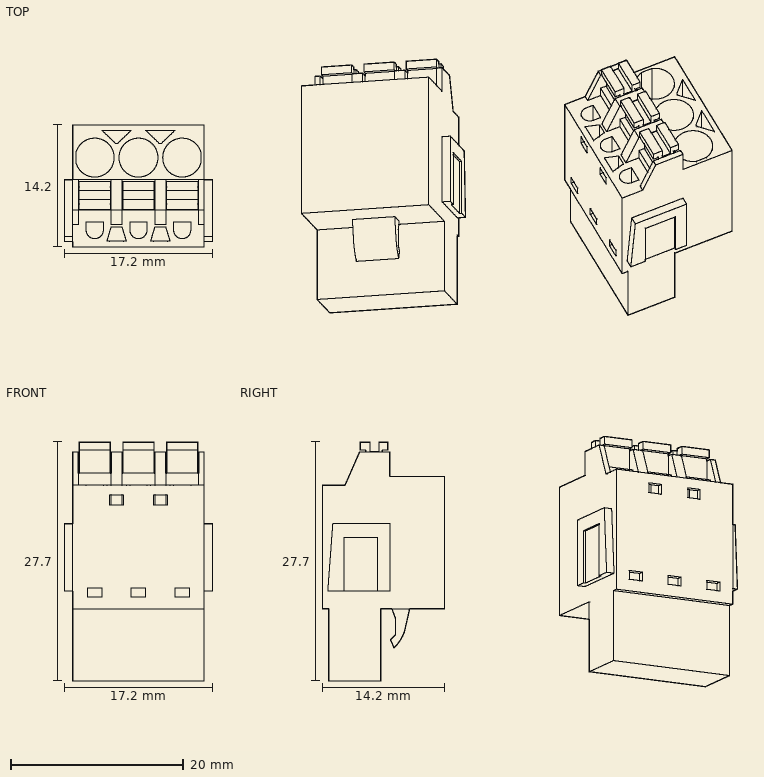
import cadquery as cq

POLES = 3
PITCH = 5.07
POLE_X = [(i - (POLES - 1) / 2) * PITCH for i in range(POLES)]
MID_X = [(a + b) / 2 for a, b in zip(POLE_X, POLE_X[1:])]

WIDTH = 15.25
DEPTH = 14.2
BODY_BOTTOM = 8.37
FRONT_SHELF = 22.75
REAR_SHELF = 23.75
RIDGE_TOP = 26.6
RIDGE_BACK = 7.85
RIDGE_FRONT = 4.33
SLOPE_FOOT = 2.63
PLUG_FRONT = 0.75
PLUG_BACK = 6.8

SLOT_WIDTH = 3.8
SEAT_TOP = 24.13

PORT_DIAMETER = 4.52
PORT_Y = 10.4
PORT_DEPTH = 11.1
PORT_SIDE_WALL = 0.4
WIRE_WIDTH = 2.0
WIRE_BACK = 2.9
WIRE_FRONT = 1.0
WIRE_DEPTH = PORT_DEPTH

POCKET_DEPTH = 5.55
REAR_POCKET_BACK = 13.55
REAR_POCKET_FRONT = 12.05
REAR_POCKET_WIDE = 3.38
REAR_POCKET_NARROW = 0.28
FRONT_POCKET_BACK = 2.33
FRONT_POCKET_FRONT = 0.72
FRONT_POCKET_WIDE = 2.25
FRONT_POCKET_NARROW = 1.28

UPPER_WINDOW_WIDTH = 1.64
LOWER_WINDOW_WIDTH = 1.7
UPPER_WINDOW_BOTTOM = 20.45
UPPER_WINDOW_TOP = 21.6
LOWER_WINDOW_BOTTOM = 9.75
LOWER_WINDOW_TOP = 10.81
LOWER_WINDOW_DEPTH = FRONT_POCKET_FRONT

PLATE_THICKNESS = 0.97
PLATE_BOTTOM = 10.43
PLATE_TOP = 18.27
PLATE_FRONT_BOTTOM = 0.65
PLATE_FRONT_TOP = 1.22
RECESS_FRONT = 2.52
RECESS_BACK = 6.4
RECESS_TOP = 16.67
RECESS_DEPTH = 0.25

HOOK_WIDTH = PITCH
HOOK_ROOT_BACK = 10.15
HOOK_ROOT_FRONT = 8.07
HOOK_NECK_Y = 8.49
HOOK_NECK_TOP = 7.27
HOOK_NECK_BOTTOM = 5.38
HOOK_BARB = (7.9, 4.8)
HOOK_TIP = (8.32, 3.83)
HOOK_BACK_BEND = (9.57, 5.8)
HOOK_BACK_MIDDLE = (9.15, 4.88)

BUTTON_WIDTH = 3.63
BUTTON_TOP = 27.73
HEAD_BOTTOM = 26.8
GROOVE_BOTTOM = 26.65
HEAD_FRONT = 4.38
HEAD_BACK = 7.63
GROOVE_FRONT = 5.55
GROOVE_BACK = 6.57
STEM_FRONT = 5.02
STEM_BACK = 6.95


def extrude_x(points, width, x_middle=0.0):
    """Extrude a (y, z) outline along X, centred on x_middle."""
    start = x_middle - width / 2
    return cq.Workplane("YZ").workplane(offset=start).polyline(points).close().extrude(width)


def box(x_middle, width, y_range, z_range):
    """Box centred on x_middle, between the given Y and Z limits."""
    (y0, y1), (z0, z1) = y_range, z_range
    return (
        cq.Workplane("XY", origin=(x_middle, (y0 + y1) / 2, z0))
        .rect(width, y1 - y0)
        .extrude(z1 - z0)
    )


def tapered_pocket(x_middle, back, back_width, front, front_width, bottom, top):
    """Vertical pocket with a trapezoid section, symmetric about x_middle."""
    outline = [
        (-back_width / 2, back),
        (back_width / 2, back),
        (front_width / 2, front),
        (-front_width / 2, front),
    ]
    return (
        cq.Workplane("XY", origin=(x_middle, 0, bottom))
        .polyline(outline)
        .close()
        .extrude(top - bottom)
    )


def housing_block():
    outline = [
        (PLUG_FRONT, 0),
        (PLUG_BACK, 0),
        (PLUG_BACK, BODY_BOTTOM),
        (DEPTH, BODY_BOTTOM),
        (DEPTH, REAR_SHELF),
        (RIDGE_BACK, REAR_SHELF),
        (RIDGE_BACK, RIDGE_TOP),
        (RIDGE_FRONT, RIDGE_TOP),
        (SLOPE_FOOT, FRONT_SHELF),
        (0, FRONT_SHELF),
        (0, BODY_BOTTOM),
        (PLUG_FRONT, BODY_BOTTOM),
    ]
    return extrude_x(outline, WIDTH)


def side_plate(side):
    """Plate on the left (side = -1) or right (side = 1) face, with a shallow recess."""
    outline = [
        (PLATE_FRONT_BOTTOM, PLATE_BOTTOM),
        (RIDGE_BACK, PLATE_BOTTOM),
        (RIDGE_BACK, PLATE_TOP),
        (PLATE_FRONT_TOP, PLATE_TOP),
    ]
    plate = extrude_x(outline, PLATE_THICKNESS, side * (WIDTH + PLATE_THICKNESS) / 2)
    outer_x = WIDTH / 2 + PLATE_THICKNESS
    recess = box(
        side * (outer_x - RECESS_DEPTH / 2),
        RECESS_DEPTH,
        (RECESS_FRONT, RECESS_BACK),
        (PLATE_BOTTOM, RECESS_TOP),
    )
    return plate.cut(recess)


def latch_hook():
    """Curved hook hanging from the underside of the body, behind the plug."""
    return (
        cq.Workplane("YZ")
        .workplane(offset=-HOOK_WIDTH / 2)
        .moveTo(HOOK_ROOT_BACK, BODY_BOTTOM)
        .lineTo(*HOOK_BACK_BEND)
        .threePointArc(HOOK_BACK_MIDDLE, HOOK_TIP)
        .lineTo(*HOOK_BARB)
        .lineTo(HOOK_NECK_Y, HOOK_NECK_BOTTOM)
        .lineTo(HOOK_NECK_Y, HOOK_NECK_TOP)
        .lineTo(HOOK_ROOT_FRONT, BODY_BOTTOM)
        .close()
        .extrude(HOOK_WIDTH)
    )


def button_slot(x):
    """Slot through the ridge: deep in front of the seat, shallow above it."""
    above_seat = box(x, SLOT_WIDTH, (RIDGE_FRONT, RIDGE_BACK), (SEAT_TOP, RIDGE_TOP))
    before_seat = box(x, SLOT_WIDTH, (0, RIDGE_FRONT), (FRONT_SHELF, RIDGE_TOP))
    return above_seat.union(before_seat)


def conductor_port(x):
    """Round blind hole, cut flat where it would come too close to a side face."""
    cylinder = (
        cq.Workplane("XY", origin=(x, PORT_Y, REAR_SHELF))
        .circle(PORT_DIAMETER / 2)
        .extrude(-PORT_DEPTH)
    )
    inside_walls = box(
        0,
        WIDTH - 2 * PORT_SIDE_WALL,
        (RIDGE_BACK, DEPTH),
        (REAR_SHELF - PORT_DEPTH, REAR_SHELF),
    )
    return cylinder.intersect(inside_walls)


def wire_hole(x):
    """D-shaped hole, flat at the back and round at the front."""
    radius = WIRE_WIDTH / 2
    arc_y = WIRE_FRONT + radius
    return (
        cq.Workplane("XY", origin=(x, 0, FRONT_SHELF))
        .moveTo(-radius, WIRE_BACK)
        .lineTo(radius, WIRE_BACK)
        .lineTo(radius, arc_y)
        .threePointArc((0, WIRE_FRONT), (-radius, arc_y))
        .close()
        .extrude(-WIRE_DEPTH)
    )


def rear_pocket(x):
    return tapered_pocket(
        x,
        REAR_POCKET_BACK,
        REAR_POCKET_WIDE,
        REAR_POCKET_FRONT,
        REAR_POCKET_NARROW,
        REAR_SHELF - POCKET_DEPTH,
        REAR_SHELF,
    )


def front_pocket(x):
    """Pocket in the front shelf, opened to the front face by a window."""
    pocket = tapered_pocket(
        x,
        FRONT_POCKET_BACK,
        FRONT_POCKET_NARROW,
        FRONT_POCKET_FRONT,
        FRONT_POCKET_WIDE,
        FRONT_SHELF - POCKET_DEPTH,
        FRONT_SHELF,
    )
    window = box(
        x,
        UPPER_WINDOW_WIDTH,
        (0, FRONT_POCKET_FRONT),
        (UPPER_WINDOW_BOTTOM, UPPER_WINDOW_TOP),
    )
    return pocket.union(window)


def lower_window(x):
    return box(x, LOWER_WINDOW_WIDTH, (0, LOWER_WINDOW_DEPTH), (LOWER_WINDOW_BOTTOM, LOWER_WINDOW_TOP))


def make_housing():
    body = housing_block().union(latch_hook())
    for side in (-1, 1):
        body = body.union(side_plate(side))
    for x in POLE_X:
        for feature in (button_slot, conductor_port, wire_hole, lower_window):
            body = body.cut(feature(x))
    for x in MID_X:
        body = body.cut(rear_pocket(x)).cut(front_pocket(x))
    return body


def make_button(x):
    """Push button: a stem on the seat, with a grooved head overhanging at both ends."""
    outline = [
        (STEM_FRONT, SEAT_TOP),
        (STEM_BACK, SEAT_TOP),
        (STEM_BACK, HEAD_BOTTOM),
        (HEAD_BACK, HEAD_BOTTOM),
        (HEAD_BACK, BUTTON_TOP),
        (GROOVE_BACK, BUTTON_TOP),
        (GROOVE_BACK, GROOVE_BOTTOM),
        (GROOVE_FRONT, GROOVE_BOTTOM),
        (GROOVE_FRONT, BUTTON_TOP),
        (HEAD_FRONT, BUTTON_TOP),
        (HEAD_FRONT, HEAD_BOTTOM),
        (STEM_FRONT, HEAD_BOTTOM),
    ]
    return extrude_x(outline, BUTTON_WIDTH, x)


housing = make_housing()
buttons = [make_button(x) for x in POLE_X]

result = cq.Compound.makeCompound([housing.val(), *[button.val() for button in buttons]])